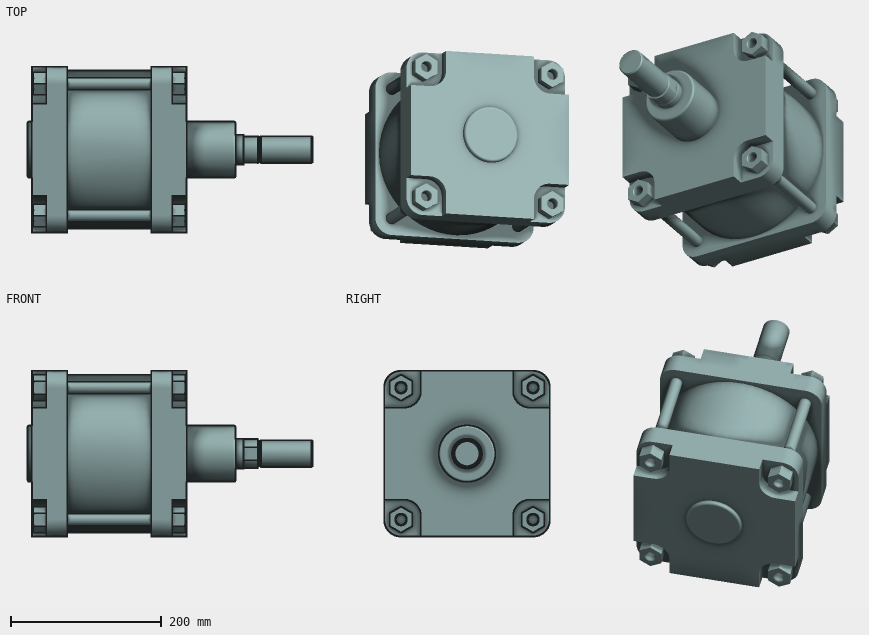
import cadquery as cq
import math

cap_size = 220.0
cap_thickness = 47.0
tie_offset = 87.5
corner_radius = cap_size / 2 - tie_offset
pocket_size = 49.0
pocket_depth = 19.0
pocket_radius = corner_radius

boss_radius = 37.5
rear_boss_length = 6.0
rear_boss_fillet = 3.0
gland_length = 65.0
gland_fillet = 3.0

barrel_radius = 105.0
barrel_length = 111.0

tie_radius = 8.0
nut_across_flats = 30.0
nut_height = 17.0
nut_hole_radius = 6.8
nut_hole_chamfer = 1.0

rod_radius = 20.0
collar_length = 10.0
shoulder_length = 1.0
wrench_radius = 19.5
wrench_length = 18.5
wrench_across_flats = 35.0
thread_radius = 18.0
thread_chamfer = 1.5
neck_radius = 17.0
neck_width = 2.5
rod_reach = 102.0

rear_cap_x = rear_boss_length
barrel_x = rear_cap_x + cap_thickness
front_cap_x = barrel_x + barrel_length
front_face_x = front_cap_x + cap_thickness
gland_end_x = front_face_x + gland_length
rod_end_x = gland_end_x + rod_reach

tie_positions = [(y, z) for y in (-tie_offset, tie_offset) for z in (-tie_offset, tie_offset)]


def section_at(x):
    """YZ sketch plane at the given X; local x is Y and local y is Z."""
    return cq.Workplane("YZ", origin=(x, 0, 0))


def cap_plate(start_x, pocket_x):
    """Rounded square plate with corner pockets and tie rod holes."""
    plate = section_at(start_x).rect(cap_size, cap_size).extrude(cap_thickness)
    plate = plate.edges("|X").fillet(corner_radius)
    pockets = (
        section_at(pocket_x)
        .rect(cap_size, cap_size, forConstruction=True)
        .vertices()
        .rect(2 * pocket_size, 2 * pocket_size)
        .extrude(pocket_depth)
        .edges("|X")
        .fillet(pocket_radius)
    )
    holes = section_at(start_x).pushPoints(tie_positions).circle(tie_radius).extrude(cap_thickness)
    return plate.cut(pockets).cut(holes)


def make_rear_cap():
    boss = section_at(0).circle(boss_radius).extrude(rear_boss_length)
    boss = boss.faces("<X").edges().fillet(rear_boss_fillet)
    return cap_plate(rear_cap_x, rear_cap_x).union(boss)


def make_front_cap():
    gland = section_at(front_face_x).circle(boss_radius).extrude(gland_length)
    gland = gland.faces(">X").edges().fillet(gland_fillet)
    bore = section_at(front_cap_x).circle(rod_radius).extrude(cap_thickness + gland_length)
    return cap_plate(front_cap_x, front_face_x - pocket_depth).union(gland).cut(bore)


def make_barrel():
    return section_at(barrel_x).circle(barrel_radius).extrude(barrel_length)


def make_tie_rod(y, z):
    """Rod between the pocket floors with a hexagonal nut, drilled down to the rod, at each end."""
    start_x = rear_cap_x + pocket_depth
    end_x = front_face_x - pocket_depth
    rod = section_at(start_x).circle(tie_radius).extrude(end_x - start_x)
    corner_diameter = nut_across_flats / math.cos(math.pi / 6)
    for base_x, direction in ((start_x, -1), (end_x, 1)):
        nut = (
            section_at(base_x)
            .transformed(rotate=(0, 0, 90))
            .polygon(6, corner_diameter)
            .extrude(direction * nut_height)
        )
        hole = section_at(base_x).circle(nut_hole_radius).extrude(direction * nut_height)
        nut = nut.cut(hole)
        outer_face = ">X" if direction > 0 else "<X"
        nut = nut.faces(outer_face).edges("%CIRCLE").chamfer(nut_hole_chamfer)
        rod = rod.union(nut)
    return rod.translate((0, y, z))


def make_piston_rod():
    shoulder_x = gland_end_x + collar_length
    wrench_x = shoulder_x + shoulder_length
    wrench_end_x = wrench_x + wrench_length
    neck_slope = thread_radius - neck_radius
    neck_x = wrench_end_x + neck_slope
    neck_end_x = neck_x + neck_width
    profile = [
        (front_cap_x, 0),
        (front_cap_x, rod_radius),
        (shoulder_x, rod_radius),
        (wrench_x, wrench_radius),
        (wrench_end_x, wrench_radius),
        (wrench_end_x, thread_radius),
        (neck_x, neck_radius),
        (neck_end_x, neck_radius),
        (neck_end_x + neck_slope, thread_radius),
        (rod_end_x - thread_chamfer, thread_radius),
        (rod_end_x, thread_radius - thread_chamfer),
        (rod_end_x, 0),
    ]
    rod = cq.Workplane("XY").polyline(profile).close().revolve(360, (0, 0, 0), (1, 0, 0))
    for side in (-1, 1):
        flat_cut = (
            section_at(wrench_x)
            .center(side * (wrench_across_flats / 2 + rod_radius / 2), 0)
            .rect(rod_radius, 2 * rod_radius)
            .extrude(wrench_length)
        )
        rod = rod.cut(flat_cut)
    return rod


rear_cap = make_rear_cap()
front_cap = make_front_cap()
barrel = make_barrel()
piston_rod = make_piston_rod()
tie_rods = [make_tie_rod(y, z) for y, z in tie_positions]

result = cq.Compound.makeCompound(
    [rear_cap.val(), front_cap.val(), barrel.val(), piston_rod.val()] + [rod.val() for rod in tie_rods]
)